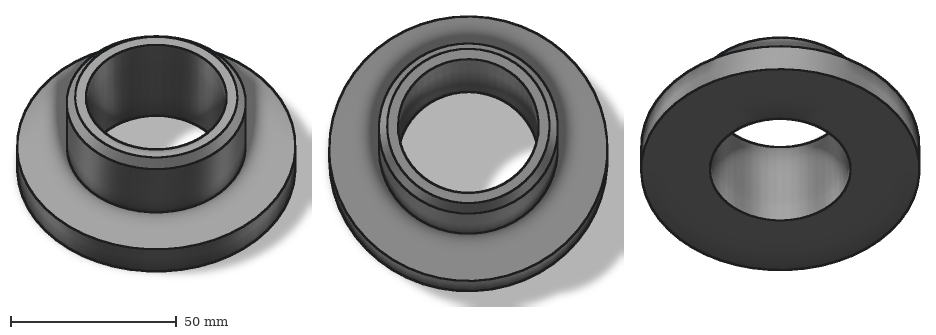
import cadquery as cq

flange_diameter = 84.0
flange_thickness = 10.0
total_height = 32.0
hub_diameter = 54.0
bore_diameter = 42.4
rim_chamfer = 2.5

flange = cq.Workplane("XY").circle(flange_diameter / 2).extrude(flange_thickness)

hub = (
    cq.Workplane("XY")
    .circle(hub_diameter / 2)
    .extrude(total_height)
    .faces(">Z")
    .edges()
    .chamfer(rim_chamfer)
)

bore = cq.Workplane("XY").circle(bore_diameter / 2).extrude(total_height)

result = flange.union(hub).cut(bore)